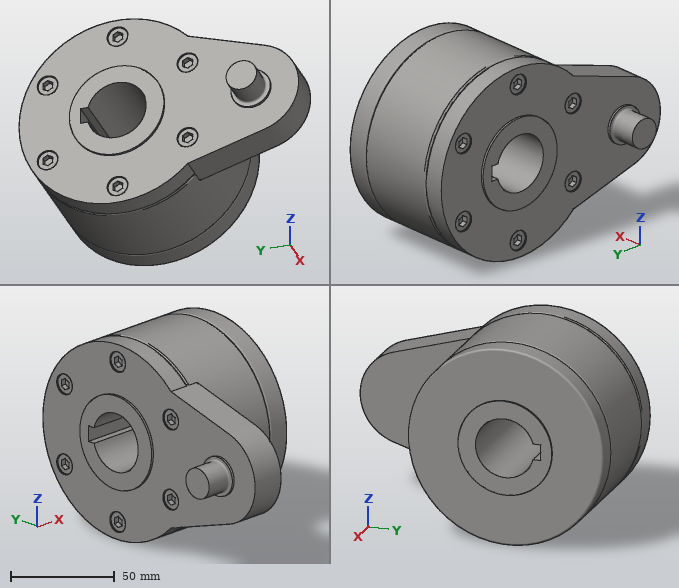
import cadquery as cq
import math


housing_radius = 50.0
housing_length = 66.0
edge_fillet = 1.0
joint_positions = (11.5, 54.4)

hub_radius = 24.0
hub_front_projection = 1.25
hub_rear_projection = 1.0
bore_radius = 15.0
keyway_width = 8.0
keyway_reach = 18.3

arm_thickness = 18.0
arm_end_radius = 24.0
arm_flank_angle = math.radians(17.0)
pin_offset = -68.0

pin_crown_radius = 7.9
pin_end_radius = 7.75
pin_projection = 15.0
pin_root_fillet = 0.9
collar_radius = 10.0
collar_projection = hub_front_projection

screw_count = 6
screw_circle_radius = 41.0
counterbore_radius = 5.2
counterbore_depth = 1.0
screw_head_radius = 5.0
screw_head_recess = 0.4
socket_across_flats = 5.0
socket_depth = 3.0


def cylinder_x(radius, start, end, y=0.0, z=0.0):
    """Cylinder parallel to X between two X positions."""
    disc = cq.Workplane("YZ", origin=(start, y, z)).circle(radius)
    return disc.extrude(end - start)


def make_housing():
    """Turned drum whose sections meet in rounded notches, with a rounded rear edge."""
    root_radius = housing_radius - edge_fillet
    profile = cq.Workplane("XY").lineTo(0, housing_radius)
    for joint in joint_positions:
        profile = profile.lineTo(joint - edge_fillet, housing_radius)
        profile = profile.radiusArc((joint, root_radius), edge_fillet)
        profile = profile.radiusArc((joint + edge_fillet, housing_radius), edge_fillet)
    profile = profile.lineTo(housing_length - edge_fillet, housing_radius)
    profile = profile.radiusArc((housing_length, root_radius), edge_fillet)
    profile = profile.lineTo(housing_length, 0).close()
    return profile.revolve(360, (0, 0, 0), (1, 0, 0))


def make_arm():
    """Tapered arm whose straight flanks run tangent to its round end."""
    tangent_y = pin_offset - arm_end_radius * math.sin(arm_flank_angle)
    tangent_z = arm_end_radius * math.cos(arm_flank_angle)
    root_z = tangent_z - tangent_y * math.tan(arm_flank_angle)
    outline = (
        cq.Workplane("YZ")
        .moveTo(0, root_z)
        .lineTo(tangent_y, tangent_z)
        .threePointArc((pin_offset - arm_end_radius, 0), (tangent_y, -tangent_z))
        .lineTo(0, -root_z)
        .close()
    )
    return outline.extrude(arm_thickness)


def make_pin():
    """Slightly barrel-shaped pin with a filleted root standing on a low collar."""
    root_x = -collar_projection - pin_root_fillet
    crown_x = (root_x - pin_projection) / 2
    profile = (
        cq.Workplane("XY")
        .lineTo(0, collar_radius)
        .lineTo(-collar_projection, collar_radius)
        .lineTo(-collar_projection, pin_end_radius + pin_root_fillet)
        .radiusArc((root_x, pin_end_radius), pin_root_fillet)
        .threePointArc((crown_x, pin_crown_radius), (-pin_projection, pin_end_radius))
        .lineTo(-pin_projection, 0)
        .close()
    )
    pin = profile.revolve(360, (0, 0, 0), (1, 0, 0))
    return pin.translate((0, pin_offset, 0))


def make_bore():
    """Through bore with a rectangular keyway on its +Y side."""
    start = -hub_front_projection
    end = housing_length + hub_rear_projection
    keyway = (
        cq.Workplane("YZ", origin=(start, keyway_reach / 2, 0))
        .rect(keyway_reach, keyway_width)
        .extrude(end - start)
    )
    return cylinder_x(bore_radius, start, end).union(keyway)


def make_screw_recess(angle):
    """Material removed around and inside one sunken socket-head screw."""
    y = screw_circle_radius * math.cos(angle)
    z = screw_circle_radius * math.sin(angle)
    counterbore = cylinder_x(counterbore_radius, 0, counterbore_depth, y, z)
    head = cylinder_x(screw_head_radius, screw_head_recess, counterbore_depth, y, z)
    across_corners = socket_across_flats / math.cos(math.pi / 6)
    socket = (
        cq.Workplane("YZ", origin=(screw_head_recess, y, z))
        .transformed(rotate=(0, 0, 90))
        .polygon(6, across_corners)
        .extrude(socket_depth)
    )
    return counterbore.cut(head).union(socket)


hub = cylinder_x(hub_radius, -hub_front_projection, housing_length + hub_rear_projection)
result = make_housing().union(make_arm()).union(hub).union(make_pin()).cut(make_bore())
for screw in range(screw_count):
    screw_angle = math.pi / 2 + screw * 2 * math.pi / screw_count
    result = result.cut(make_screw_recess(screw_angle))